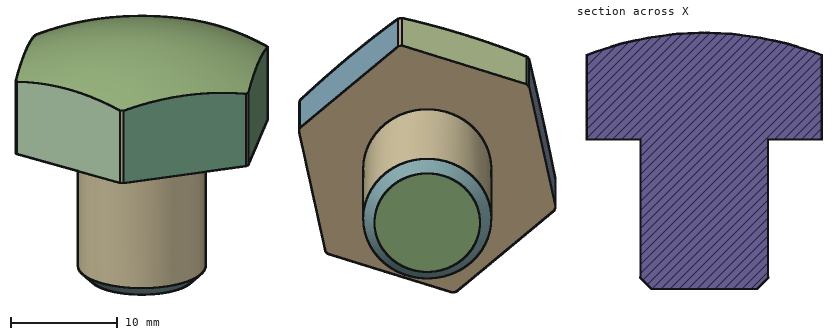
import cadquery as cq
import math

across_flats = 22.0
corner_diameter = 25.2
head_height = 10.0
dome_radius = 30.0

shank_diameter = 12.0
shank_length = 13.99
tip_chamfer = 1.05


def make_head():
    """Hexagonal prism with turned corners, capped by a spherical dome."""
    across_corners = across_flats / math.cos(math.radians(30))
    hexagon = cq.Workplane("XY").polygon(6, across_corners).extrude(head_height)
    corner_limit = cq.Workplane("XY").circle(corner_diameter / 2).extrude(head_height)
    dome_centre = (0, 0, head_height - dome_radius)
    dome = cq.Workplane("XY").sphere(dome_radius).translate(dome_centre)
    return hexagon.intersect(corner_limit).intersect(dome)


def make_shank():
    """Shank below the head, chamfered at its free end."""
    shank = cq.Workplane("XY").circle(shank_diameter / 2).extrude(-shank_length)
    return shank.faces("<Z").chamfer(tip_chamfer)


result = make_head().union(make_shank())